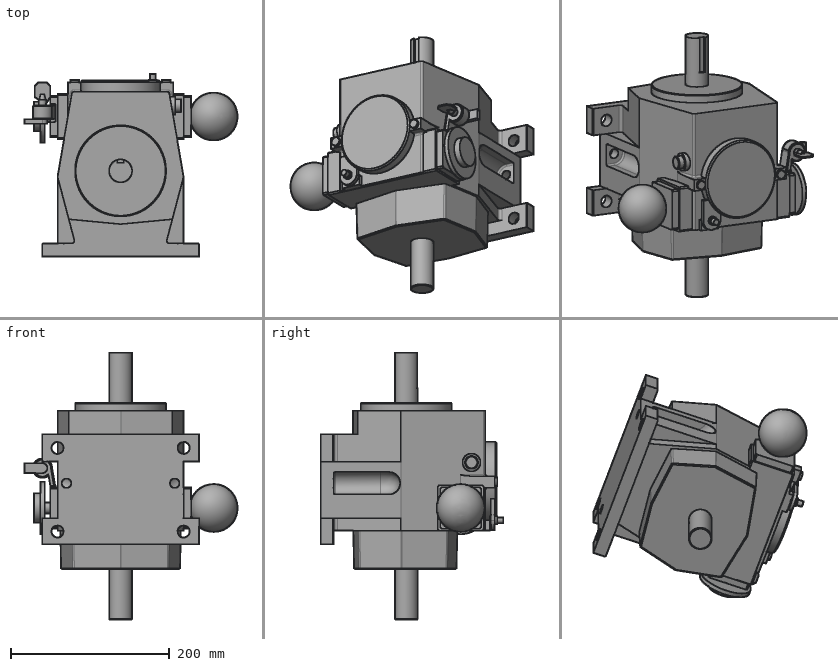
import cadquery as cq


housing_height = 151.2
housing_back_y = 99.8
back_half_width = 61.0
waist_y = -7.1
waist_half_width = 79.5
neck_half_width = 57.2
keel_corner_y = -61.0
keel_y = -67.2
back_corner_radius = 3.0

foot_y = -108.0
foot_thickness = 16.5
foot_top_y = foot_y + foot_thickness
foot_half_width = 98.9
foot_bottom_z = -17.2
foot_top_z = 121.8
foot_fillet = 3.5
foot_edge_chamfer = 1.2
cheek_bottom_z = 15.9
cheek_top_z = 86.9
lug_hole_diameter = 15.0
lug_hole_x = 79.4
lug_hole_z_low = -1.0
lug_hole_z_high = 104.3

pocket_z = 59.8
pocket_radius = 14.2
pocket_depth = 25.0
pocket_end_y = waist_y - 0.7
pocket_end_fillet = 2.2
pocket_sight_hole_diameter = 11.9
pocket_sight_hole_x = 68.2

pilot_radius = 57.5
pilot_height = 10.0
pilot_chamfer = 1.0
cover_depth = 48.6
cover_draft = 1.2
cover_edge_radius = 2.5
cover_chamfer = 1.5
cover_waist_y = -6.5
cover_waist_half_width = 76.2
cover_front_corner = (61.0, -60.5)
cover_front_y = -67.0
cover_back_corner = (65.8, 52.3)
cover_back_y = 64.5

shaft_radius = 14.5
shaft_top_z = 224.4
shaft_length = 336.55
shaft_chamfer = 1.0
keyway_width = 8.0
keyway_depth = 4.2
keyway_length = 45.0

control_y = 68.5
control_z = 28.6
pad_size = 57.8
pad_face_x = waist_half_width
bearing_size = 52.0
bearing_face_x = 88.8
pad_chamfer = 2.0

dial_stem_radius = 7.2
dial_inner_x = -95.5
dial_outer_x = -101.0
dial_radius = 33.2
dial_hub_x = -109.2
dial_hub_radius = 18.7

ball_radius = 30.3
ball_end_x = 147.6
ball_x = ball_end_x - ball_radius

rear_radius = 50.4
rear_z = 62.0
rear_face_y = 113.9
rear_chamfer = 2.0
ear_half_width = 66.5
ear_root_y = 66.0
ear_face_y = 111.5
ear_bottom_z = 54.3
ear_top_z = 68.8
ear_fillet = 2.6
ear_screw_x = 57.7
ear_screw_diameter = 11.0
ear_screw_face_y = 114.8

stop_x = 40.6
stop_z = 13.1
stop_arm_radius = 12.4
stop_arm_back_y = 106.6
stop_arm_face_y = 111.4
stop_arm_top_z = 40.0
stop_pad_face_y = 105.4
stop_collar_diameter = 10.5
stop_collar_face_y = 114.8
stop_pin_diameter = 7.6
overall_depth = 230.38
stop_pin_face_y = foot_y + overall_depth

plug_z = 86.0
plug_y = 82.2
plug_flange_diameter = 22.5
plug_flange_x = 68.7
plug_head_diameter = 16.5
plug_head_x = 76.8
plug_root_x = 60.0
plug_chamfer = 1.0

lock_x = -98.5
lock_z = 78.8
lock_radius = 12.2
lock_front_y = 65.1
lock_back_y = 82.7
lock_chamfer = 1.5
cam_tip_x = -121.3
cam_half_width = 6.2
cam_front_y = 59.2
strap_top = (-93.0, -88.4, 82.0)
strap_foot = (-88.6, -84.0, 56.0)
strap_back_thickness = 1.7
strap_back_inset = 0.5
strap_flange_x = -81.4
strap_flange_front_y = 61.4
strap_flange_rear_y = 84.8
strap_flange_thickness = 2.3
strap_flange_corner_radius = 3.0
plug_barrel_radius = 4.8
plug_barrel_y = 89.7
key_tip_base_radius = 4.2
key_tip_radius = 2.5
key_tip_y = 96.7
key_thickness = 1.8
key_half_width = 9.9
key_end_y = 111.5
key_shoulder_y = 93.2
key_neck_y = 89.0
key_tail_y = 83.7
key_corner = 4.5

select_margin = 0.5


def box(x0, x1, y0, y1, z0, z1):
    """Box between two opposite corners given as ranges."""
    return (cq.Workplane("XY")
            .box(abs(x1 - x0), abs(y1 - y0), abs(z1 - z0))
            .translate(((x0 + x1) / 2, (y0 + y1) / 2, (z0 + z1) / 2)))


def rod_x(radius, x0, x1, y, z):
    """Cylinder along X."""
    start = cq.Vector(min(x0, x1), y, z)
    return cq.Workplane(cq.Solid.makeCylinder(radius, abs(x1 - x0), start, cq.Vector(1, 0, 0)))


def rod_y(radius, y0, y1, x, z):
    """Cylinder along Y."""
    return cq.Workplane(cq.Solid.makeCylinder(radius, y1 - y0, cq.Vector(x, y0, z), cq.Vector(0, 1, 0)))


def mirrored_outline(half):
    """Closed outline from right-hand points, mirrored about X = 0."""
    left = [(-x, y) for x, y in reversed(half) if x > 0]
    return cq.Workplane("XY").polyline(half + left).close()


def both_sides(shape):
    """The shape together with its mirror image about X = 0."""
    return shape.union(shape.mirror("YZ"))


def housing_core():
    """Tapered upper block with its pointed foot side, full height."""
    slope = (waist_half_width - neck_half_width) / (waist_y - foot_top_y)
    keel_half_width = waist_half_width - slope * (waist_y - keel_corner_y)
    outline = mirrored_outline([
        (0, keel_y),
        (keel_half_width, keel_corner_y),
        (waist_half_width, waist_y),
        (back_half_width, housing_back_y),
    ])
    return outline.extrude(housing_height).edges("|Z and >Y").fillet(back_corner_radius)


def foot():
    """Neck and foot plate, notched between the four lugs and joined by the cheeks."""
    neck = (mirrored_outline([(neck_half_width, foot_top_y), (waist_half_width, waist_y)])
            .extrude(foot_top_z))
    plate = (box(-foot_half_width, foot_half_width, foot_y, foot_top_y, foot_bottom_z, foot_top_z)
             .edges("|Z and >Y").chamfer(foot_edge_chamfer))
    joined = neck.union(plate)
    joined = joined.edges(cq.selectors.BoxSelector(
        (-neck_half_width - select_margin, foot_top_y - select_margin, 0),
        (neck_half_width + select_margin, foot_top_y + select_margin, foot_top_z),
    )).edges("|Z").fillet(foot_fillet)
    notch = box(waist_half_width, foot_half_width, foot_y, foot_top_y, cheek_bottom_z, cheek_top_z)
    joined = joined.cut(both_sides(notch))
    cheeks = box(-waist_half_width, waist_half_width, foot_y, waist_y, cheek_bottom_z, cheek_top_z)
    joined = joined.union(cheeks)
    for x in (-lug_hole_x, lug_hole_x):
        for z in (lug_hole_z_low, lug_hole_z_high):
            joined = joined.cut(rod_y(lug_hole_diameter / 2, foot_y, foot_top_y, x, z))
    return joined


def side_pocket():
    """Round-bottomed channel in the left cheek that curves out to the surface at its back end."""
    straight = pocket_depth - pocket_radius
    turn_y = pocket_end_y - pocket_depth

    def profile():
        return (cq.Workplane("XZ", origin=(-waist_half_width, turn_y, pocket_z))
                .moveTo(0, -pocket_radius)
                .lineTo(straight, -pocket_radius)
                .threePointArc((pocket_depth, 0), (straight, pocket_radius))
                .lineTo(0, pocket_radius)
                .close())

    channel = profile().extrude(turn_y - foot_top_y)
    channel = channel.faces("<Y").edges("not <X").fillet(pocket_end_fillet)
    ramp = profile().revolve(90, (0, 0, 0), (0, 1, 0))
    sight_hole = rod_y(pocket_sight_hole_diameter / 2, foot_y, turn_y, -pocket_sight_hole_x, pocket_z)
    return channel.union(ramp).union(sight_hole)


def pilot():
    """Round pilot on the upper face."""
    return (cq.Workplane("XY", origin=(0, 0, housing_height))
            .circle(pilot_radius).extrude(pilot_height)
            .faces(">Z").edges().chamfer(pilot_chamfer))


def lower_cover():
    """Drafted many-sided cover under the housing."""
    outline = mirrored_outline([
        (0, cover_front_y),
        cover_front_corner,
        (cover_waist_half_width, cover_waist_y),
        cover_back_corner,
        (0, cover_back_y),
    ])
    return (outline.extrude(-cover_depth, taper=cover_draft)
            .edges("not #Z").fillet(cover_edge_radius)
            .faces("<Z").edges().chamfer(cover_chamfer))


def control_pads():
    """Square pad and bearing block on both sides, around the control axis."""
    def square_bar(size, half_length):
        return (cq.Workplane("YZ", origin=(0, control_y, control_z)).rect(size, size)
                .extrude(half_length, both=True)
                .edges("|X").chamfer(pad_chamfer))

    return square_bar(pad_size, pad_face_x).union(square_bar(bearing_size, bearing_face_x))


def add_ears(core):
    """Bar across the back whose ends are the ears, filleted into the upper block."""
    bar = box(-ear_half_width, ear_half_width, ear_root_y, ear_face_y, ear_bottom_z, ear_top_z)
    inner_half_width = ear_half_width - select_margin
    seam = cq.selectors.BoxSelector(
        (-inner_half_width, ear_root_y, ear_bottom_z - select_margin),
        (inner_half_width, housing_back_y + select_margin, ear_top_z + select_margin),
    )
    return core.union(bar).edges(seam).fillet(ear_fillet)


def rear_cover():
    """Round cover on the back and the screws of its ears."""
    disc = (rod_y(rear_radius, control_y, rear_face_y, 0, rear_z)
            .faces(">Y").edges().chamfer(rear_chamfer))
    screw_z = (ear_bottom_z + ear_top_z) / 2
    screw = rod_y(ear_screw_diameter / 2, ear_face_y, ear_screw_face_y, ear_screw_x, screw_z)
    return disc.union(both_sides(screw))


def stop_arm():
    """Stop arm hanging below the round cover, its pin, and the pad behind it."""
    x0 = stop_x - stop_arm_radius
    x1 = stop_x + stop_arm_radius
    arm = (box(x0, x1, stop_arm_back_y, stop_arm_face_y, stop_z, stop_arm_top_z)
           .union(rod_y(stop_arm_radius, stop_arm_back_y, stop_arm_face_y, stop_x, stop_z)))
    pad = box(x0, x1, control_y, stop_pad_face_y, 0, stop_z)
    collar = rod_y(stop_collar_diameter / 2, stop_pad_face_y, stop_collar_face_y, stop_x, stop_z)
    pin = rod_y(stop_pin_diameter / 2, stop_pad_face_y, stop_pin_face_y, stop_x, stop_z)
    return arm.union(pad).union(collar).union(pin)


def side_plug():
    """Flanged plug on the +X flank."""
    flange = rod_x(plug_flange_diameter / 2, plug_root_x, plug_flange_x, plug_y, plug_z)
    head = (rod_x(plug_head_diameter / 2, plug_root_x, plug_head_x, plug_y, plug_z)
            .faces(">X").edges().chamfer(plug_chamfer))
    return flange.union(head)


shaft_bore = cq.Workplane("XY", origin=(0, 0, shaft_top_z)).circle(shaft_radius).extrude(-shaft_length)

housing = (add_ears(housing_core())
           .union(foot())
           .union(pilot())
           .union(lower_cover())
           .union(control_pads())
           .union(rear_cover())
           .union(stop_arm())
           .union(side_plug())
           .cut(both_sides(side_pocket()))
           .cut(shaft_bore))

keyway = box(-keyway_width / 2, keyway_width / 2,
             shaft_radius - keyway_depth, shaft_radius,
             shaft_top_z - keyway_length, shaft_top_z)
shaft = shaft_bore.faces("<Z").edges().chamfer(shaft_chamfer).cut(keyway)

hand_dial = (rod_x(dial_stem_radius, dial_inner_x, -bearing_face_x, control_y, control_z)
             .union(rod_x(dial_radius, dial_outer_x, dial_inner_x, control_y, control_z))
             .union(rod_x(dial_hub_radius, dial_hub_x, dial_outer_x, control_y, control_z)))

ball = cq.Workplane("XY").sphere(ball_radius).translate((ball_x, control_y, control_z))
ball_knob = ball.cut(control_pads())


def lock_barrel():
    """Lock barrel along Y with a chamfer at both ends."""
    return (rod_y(lock_radius, lock_front_y, lock_back_y, lock_x, lock_z)
            .edges("%CIRCLE").chamfer(lock_chamfer))


def lock_cam():
    """Flat cam on the front of the barrel, round at the barrel and square at the tip."""
    bar = box(cam_tip_x, lock_x, cam_front_y, lock_front_y, lock_z - cam_half_width, lock_z + cam_half_width)
    return bar.union(rod_y(cam_half_width, cam_front_y, lock_front_y, lock_x, lock_z))


def lock_strap():
    """Sloping two-layer strap that carries the lock, on a rounded flange on the bearing block."""
    top_left, top_right, top_z = strap_top
    foot_left, foot_right, foot_z = strap_foot
    block_top_z = control_z + bearing_size / 2

    def layer(top_from, top_to, foot_from, foot_to, inset):
        return (cq.Workplane("XZ", origin=(0, lock_back_y - inset, 0))
                .polyline([(top_from, top_z), (top_to, top_z), (foot_to, foot_z), (foot_from, foot_z)])
                .close().extrude(lock_back_y - lock_front_y - 2 * inset))

    strap = layer(top_left, top_right, foot_left, foot_right, 0)
    backing = layer(top_right, top_right + strap_back_thickness,
                    foot_right, foot_right + strap_back_thickness, strap_back_inset)
    flange = (box(-bearing_face_x, strap_flange_x, strap_flange_front_y, strap_flange_rear_y,
                  block_top_z, block_top_z + strap_flange_thickness)
              .edges("|Z and >X").fillet(strap_flange_corner_radius))
    return strap.union(backing).union(flange)


def key():
    """Key plug, conical tip and the flat key grip with its slanted tail."""
    plug = rod_y(plug_barrel_radius, lock_back_y, plug_barrel_y, lock_x, lock_z)
    tip = cq.Workplane(cq.Solid.makeCone(
        key_tip_base_radius, key_tip_radius, key_tip_y - plug_barrel_y,
        cq.Vector(lock_x, plug_barrel_y, lock_z), cq.Vector(0, 1, 0)))
    corner_x = key_half_width - key_corner
    grip = (cq.Workplane("XY", origin=(lock_x, 0, lock_z))
            .polyline([
                (-corner_x, key_end_y),
                (corner_x, key_end_y),
                (key_half_width, key_end_y - key_corner),
                (key_half_width, key_shoulder_y),
                (key_tip_base_radius, key_tail_y),
                (-key_tip_base_radius, key_tail_y),
                (-key_tip_base_radius, key_neck_y),
                (-key_half_width, key_shoulder_y),
                (-key_half_width, key_end_y - key_corner),
            ])
            .close().extrude(key_thickness / 2, both=True))
    return plug.union(tip).union(grip)


lock = lock_barrel().union(lock_cam()).union(lock_strap()).union(key()).cut(control_pads())

result = cq.Compound.makeCompound([
    housing.solids().val(),
    shaft.solids().val(),
    hand_dial.solids().val(),
    ball_knob.solids().val(),
    lock.solids().val(),
])